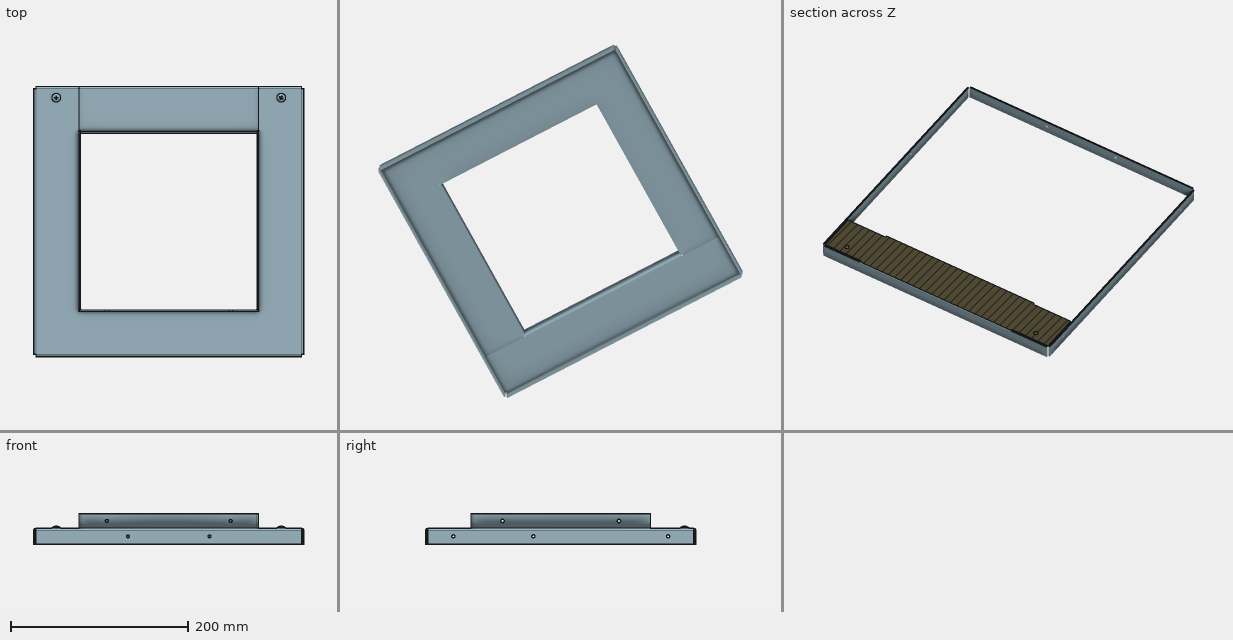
import cadquery as cq
import math

side = 304.8
skirt_height = 18.3
total_height = 34.7
collar_side = 202.7

sheet = 1.8
bend_outer = 2.65
bend_inner = bend_outer - sheet

skirt_hole_diameter = 3.5
skirt_hole_height = 9.0
front_skirt_hole_x = 46.0
side_skirt_hole_ys = (-121.0, -30.8, 121.0)
collar_hole_height = 26.5
front_collar_hole_diameter = 3.7
front_collar_hole_x = 69.8
side_collar_hole_diameter = 3.7
side_collar_hole_y = 65.5

screw_x = 126.8
screw_y = 139.5
screw_head_diameter = 9.8
screw_head_height = 2.5
screw_rim_height = 0.5
screw_shank_diameter = 4.3
slot_length = 4.3
slot_width = 1.0
slot_depth = 1.2

diagonal = math.sqrt(0.5)
half = side / 2
half_flat = half - bend_outer
half_collar = collar_side / 2
frame_underside = skirt_height - sheet
plate_top = frame_underside
plate_underside = plate_top - sheet
collar_bottom = frame_underside
flange_half_width = half_collar - sheet
plate_front = half_collar + bend_inner
screw_places = [(-screw_x, screw_y), (screw_x, screw_y)]
screw_turns = [0, 60]


def block(x_min, x_max, y_min, y_max, z_min, z_max):
    """A box given by its limits along each axis."""
    size = (x_max - x_min, y_max - y_min, z_max - z_min)
    return cq.Workplane("XY").box(*size, centered=False).translate((x_min, y_min, z_min))


def skirt_along_x(x_min, x_max, sheet_top):
    """Downward skirt on the +Y side, with the quarter bend that joins it to a sheet."""
    bend_z = sheet_top - bend_outer
    profile = (
        cq.Workplane("YZ")
        .moveTo(half_flat, sheet_top)
        .threePointArc((half_flat + bend_outer * diagonal, bend_z + bend_outer * diagonal), (half, bend_z))
        .lineTo(half, 0)
        .lineTo(half - sheet, 0)
        .lineTo(half - sheet, bend_z)
        .threePointArc(
            (half_flat + bend_inner * diagonal, bend_z + bend_inner * diagonal),
            (half_flat, sheet_top - sheet),
        )
        .close()
    )
    return profile.extrude(x_max - x_min).translate((x_min, 0, 0))


def holes_along_y(diameter, xs, z):
    """Drills through the -Y wall only."""
    points = [(x, z) for x in xs]
    return cq.Workplane("XZ").pushPoints(points).circle(diameter / 2).extrude(half)


def holes_along_x(diameter, ys, z):
    """Drills through both side walls."""
    points = [(y, z) for y in ys]
    return cq.Workplane("YZ").pushPoints(points).circle(diameter / 2).extrude(half, both=True)


def screw_holes():
    """Drills for the screw shanks, long enough to pass both sheets."""
    return (
        cq.Workplane("XY")
        .workplane(offset=plate_underside)
        .pushPoints(screw_places)
        .circle(screw_shank_diameter / 2)
        .extrude(skirt_height - plate_underside)
    )


def make_frame():
    """U-shaped folded frame, open at the back between its two arms."""
    top = block(-half_flat, half_flat, -half_flat, half_flat, frame_underside, skirt_height)
    opening = block(-half_collar, half_collar, -half_collar, half, frame_underside, skirt_height)
    frame = top.cut(opening)

    full_skirt = skirt_along_x(-half_flat, half_flat, skirt_height)
    for angle in (90, 180, 270):
        frame = frame.union(full_skirt.rotate((0, 0, 0), (0, 0, 1), angle))
    frame = frame.union(skirt_along_x(-half_flat, -half_collar, skirt_height))
    frame = frame.union(skirt_along_x(half_collar, half_flat, skirt_height))

    front_xs = (-front_skirt_hole_x, front_skirt_hole_x)
    frame = frame.cut(holes_along_y(skirt_hole_diameter, front_xs, skirt_hole_height))
    frame = frame.cut(holes_along_x(skirt_hole_diameter, side_skirt_hole_ys, skirt_hole_height))
    return frame.cut(screw_holes())


def make_collar():
    """Upright U-shaped strip inside the frame opening, bent round its two front corners."""
    outer = block(-half_collar, half_collar, -half_collar, half_collar, collar_bottom, total_height)
    inner = block(
        -flange_half_width, flange_half_width, -flange_half_width, half_collar, collar_bottom, total_height
    )
    outer = outer.edges("|Z and <Y").fillet(bend_outer)
    inner = inner.edges("|Z and <Y").fillet(bend_inner)
    collar = outer.cut(inner)

    front_xs = (-front_collar_hole_x, front_collar_hole_x)
    side_ys = (-side_collar_hole_y, side_collar_hole_y)
    collar = collar.cut(holes_along_y(front_collar_hole_diameter, front_xs, collar_hole_height))
    return collar.cut(holes_along_x(side_collar_hole_diameter, side_ys, collar_hole_height))


def make_back_plate():
    """Plate under the two arms, with a skirt at the back and an upright flange closing the collar."""
    plate = block(-half_flat, half_flat, plate_front, half_flat, plate_underside, plate_top)
    plate = plate.union(skirt_along_x(-half_collar, half_collar, plate_top))

    bend_z = plate_top + bend_inner
    flange = (
        cq.Workplane("YZ")
        .moveTo(plate_front, plate_underside)
        .threePointArc(
            (plate_front - bend_outer * diagonal, bend_z - bend_outer * diagonal),
            (half_collar - sheet, bend_z),
        )
        .lineTo(half_collar - sheet, total_height)
        .lineTo(half_collar, total_height)
        .lineTo(half_collar, bend_z)
        .threePointArc(
            (plate_front - bend_inner * diagonal, bend_z - bend_inner * diagonal),
            (plate_front, plate_top),
        )
        .close()
        .extrude(flange_half_width, both=True)
    )
    return plate.union(flange).cut(screw_holes())


def make_screw(x, y, turn):
    """Screw with a domed, cross-slotted head on the frame and a shank through both sheets."""
    head_radius = screw_head_diameter / 2
    dome_height = screw_head_height - screw_rim_height
    dome_radius = (head_radius**2 + dome_height**2) / (2 * dome_height)
    dome_center = screw_head_height - dome_radius
    middle_radius = head_radius / 2
    middle_height = dome_center + math.sqrt(dome_radius**2 - middle_radius**2)
    shank_radius = screw_shank_diameter / 2
    shank_length = skirt_height - plate_underside
    screw = (
        cq.Workplane("XZ")
        .moveTo(0, screw_head_height)
        .threePointArc((middle_radius, middle_height), (head_radius, screw_rim_height))
        .lineTo(head_radius, 0)
        .lineTo(shank_radius, 0)
        .lineTo(shank_radius, -shank_length)
        .lineTo(0, -shank_length)
        .close()
        .revolve(360, (0, 0, 0), (0, 1, 0))
    )
    slot_floor = cq.Workplane("XY").workplane(offset=screw_head_height - slot_depth)
    for length, width in ((slot_length, slot_width), (slot_width, slot_length)):
        screw = screw.cut(slot_floor.rect(length, width).extrude(slot_depth))
    return screw.rotate((0, 0, 0), (0, 0, 1), turn).translate((x, y, skirt_height))


frame = make_frame()
collar = make_collar()
back_plate = make_back_plate()
screws = [make_screw(x, y, turn) for (x, y), turn in zip(screw_places, screw_turns)]

result = cq.Compound.makeCompound(
    [frame.val(), collar.val(), back_plate.val(), *[screw.val() for screw in screws]]
)